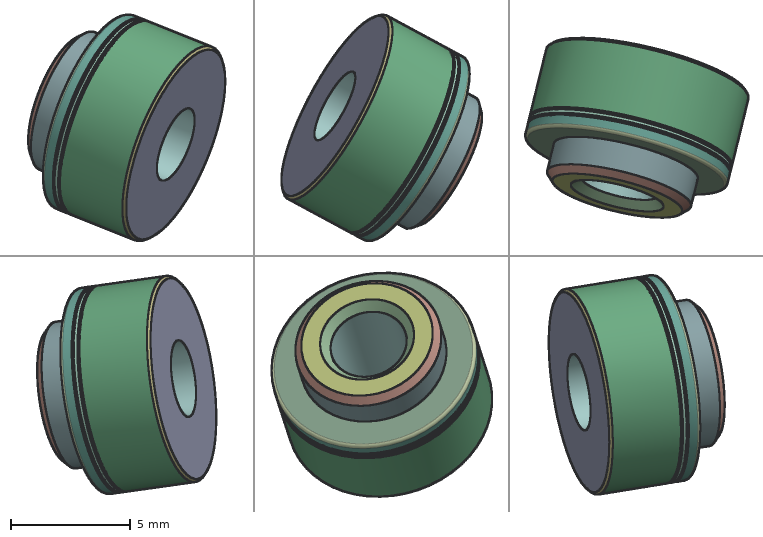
import cadquery as cq

overall_length = 5.53
body_length = 4.0
nose_length = overall_length - body_length

body_diameter = 8.74
nose_diameter = 6.22
bore_diameter = 3.24

nose_chamfer = 0.31
body_fillet = 0.14
body_end_chamfer = 0.12

bore_mouth_diameter = 4.0
bore_chamfer = (bore_mouth_diameter - bore_diameter) / 2

groove_count = 2
groove_width = 0.085
groove_depth = 0.08
groove_pitch = 0.255
first_groove_start = 0.54


def cylinder(start_x, length, diameter):
    """Solid cylinder along +X that begins at start_x."""
    return cq.Workplane("YZ", origin=(start_x, 0, 0)).circle(diameter / 2).extrude(length)


def make_body():
    """Large cylinder, rounded at the shoulder and chamfered at the far end."""
    body = cylinder(0, body_length, body_diameter)
    body = body.faces("<X").edges().fillet(body_fillet)
    return body.faces(">X").edges().chamfer(body_end_chamfer)


def make_nose():
    """Small cylinder in front of the shoulder with a chamfered tip."""
    nose = cylinder(-nose_length, nose_length, nose_diameter)
    return nose.faces("<X").edges().chamfer(nose_chamfer)


def make_groove(start_x):
    """Square-bottomed ring to cut from the outside of the body."""
    groove_bottom_diameter = body_diameter - 2 * groove_depth
    outer = cylinder(start_x, groove_width, body_diameter)
    return outer.cut(cylinder(start_x, groove_width, groove_bottom_diameter))


def make_bore():
    """Through bore with a 45 degree countersink at the tip of the nose."""
    bore = cylinder(-nose_length, overall_length, bore_diameter)
    mouth = (
        cq.Workplane("YZ", origin=(-nose_length, 0, 0))
        .circle(bore_mouth_diameter / 2)
        .workplane(offset=bore_chamfer)
        .circle(bore_diameter / 2)
        .loft()
    )
    return bore.union(mouth)


result = make_body().union(make_nose())
for groove_index in range(groove_count):
    result = result.cut(make_groove(first_groove_start + groove_index * groove_pitch))
result = result.cut(make_bore())